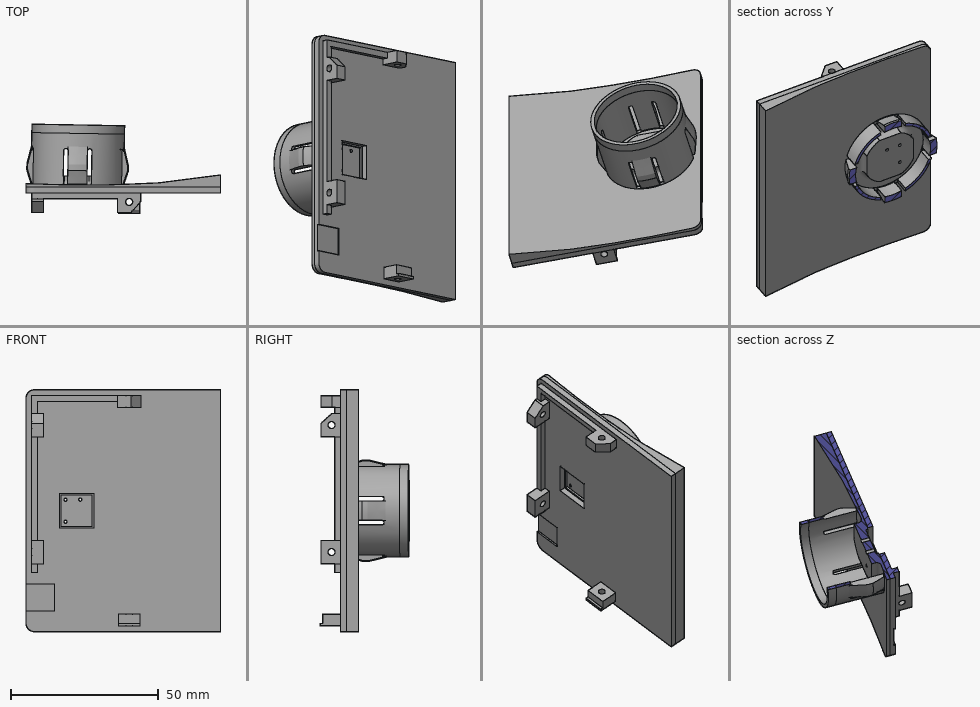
import cadquery as cq
import math

PANEL_WIDTH = 66.0
PANEL_HEIGHT = 82.0
CORNER_RADIUS = 3.0
FRONT_THICKNESS = 2.0
MID_Z = PANEL_HEIGHT / 2

HOLLOW_X = 20.6
HOLLOW_Y = 2.69
HOLLOW_RADIUS = 373.0
RAMP_START_X = 45.0
RAMP_END_Y = 6.17

EDGE_INSET = 2.0
RAIL_SIZE = 2.0
RAIL_BOTTOM_Z = 20.0
CLIP_LENGTH = 8.0
CLIP_WIDTH = 4.0
CLIP_DEPTH = 6.6
CLIP_CHAMFER_ALONG = 3.4
CLIP_CHAMFER_DEPTH = 3.75
CLIP_HOLE_DIAMETER = 2.3
CLIP_HOLE_DEPTH = 3.0
SIDE_CLIP_UPPER_Z = 70.0
SIDE_CLIP_LOWER_Z = 27.0
END_CLIP_X = 35.0
BOTTOM_CLIP_LENGTH = 7.3
BOTTOM_CLIP_DEPTH = 6.0
LIP_SIZE = 0.9

RECESS_WIDTH = 9.8
RECESS_BOTTOM_Z = 7.1
RECESS_HEIGHT = 9.1
RECESS_DEPTH = 0.6

BOSS_X = 17.2
WINDOW_SIZE = 11.7
POCKET_SIZE = 10.6
POCKET_FLOOR_Y = 2.75
BOSS_DIAMETER = 20.0
BOSS_FLAT_LENGTH = 8.34
BOSS_TOP_Y = 5.8
BOSS_FILLET = 1.5
PIN_HOLE_DIAMETER = 1.0
PIN_HOLE_OFFSETS = [(-3.75, 3.75), (1.25, 3.75), (-3.75, -3.75)]

CUP_X = 17.37
CUP_TILT = 1.0
CUP_OUTER_RADIUS = 31.5 / 2
CUP_INNER_RADIUS = 29.0 / 2
RIM_START_Y = 20.2
RIM_END_Y = 23.1
CUP_SEAT_Y = 2.5

TAB_COUNT = 4
TAB_WIDTH = 6.6
TAB_SLOT_WIDTH = 1.44
TAB_SLOT_END_RADIUS = 0.65
TAB_SLOT_END_Y = 15.0
TAB_SLOT_BASE_Y = 2.85
TAB_FREE_END_Y = 3.05
BULGE_RADIUS = 17.2
BULGE_TOP_Y = 15.6
BULGE_CREST_START_Y = 7.6
BULGE_CREST_END_Y = 9.6


def block(x_range, y_range, z_range):
    """Box between the given limits on each axis."""
    sizes = [high - low for low, high in (x_range, y_range, z_range)]
    corner = (x_range[0], y_range[0], z_range[0])
    return cq.Workplane("XY").box(*sizes, centered=False).translate(corner)


def span(center, length):
    """Limits of a length centred on a point."""
    return (center - length / 2, center + length / 2)


def cylinder_y(x, z, diameter, y_start, y_end):
    """Cylinder with its axis along Y."""
    circle = cq.Workplane("XZ", origin=(x, y_start, z)).circle(diameter / 2)
    return circle.extrude(y_start - y_end)


def round_left_corners(panel):
    return panel.edges("|Y and <X").fillet(CORNER_RADIUS)


def side_clip(center_z, chamfered):
    """Clip at the left edge, with its hole along X."""
    x_range = (EDGE_INSET, EDGE_INSET + CLIP_WIDTH)
    clip = block(x_range, (-CLIP_DEPTH, 0), span(center_z, CLIP_LENGTH))
    if chamfered:
        clip = clip.edges("<Y and >Z").chamfer(CLIP_CHAMFER_ALONG, CLIP_CHAMFER_DEPTH)
    hole = (
        cq.Workplane("YZ", origin=(EDGE_INSET, -CLIP_HOLE_DEPTH, center_z))
        .circle(CLIP_HOLE_DIAMETER / 2)
        .extrude(CLIP_WIDTH)
    )
    return clip.cut(hole)


def end_clip_hole():
    """Vertical hole shared by the top and bottom clips."""
    return (
        cq.Workplane("XY", origin=(END_CLIP_X, -CLIP_HOLE_DEPTH, 0))
        .circle(CLIP_HOLE_DIAMETER / 2)
        .extrude(PANEL_HEIGHT)
    )


def top_clip():
    z_top = PANEL_HEIGHT - EDGE_INSET
    clip = block(span(END_CLIP_X, CLIP_LENGTH), (-CLIP_DEPTH, 0), (z_top - CLIP_WIDTH, z_top))
    clip = clip.edges("<Y and >X").chamfer(CLIP_CHAMFER_DEPTH, CLIP_CHAMFER_ALONG)
    return clip.cut(end_clip_hole())


def bottom_clip():
    """Clip with a small lip along its lower outer edge."""
    x_range = span(END_CLIP_X, BOTTOM_CLIP_LENGTH)
    clip = block(x_range, (-BOTTOM_CLIP_DEPTH, 0), (EDGE_INSET, EDGE_INSET + CLIP_WIDTH))
    lip_y = (-BOTTOM_CLIP_DEPTH - LIP_SIZE, -BOTTOM_CLIP_DEPTH)
    lip = block(x_range, lip_y, (EDGE_INSET, EDGE_INSET + LIP_SIZE))
    return clip.union(lip).cut(end_clip_hole())


def side_clip_hole_clearance():
    """The side clip holes, continued through the rail."""
    centers = [(-CLIP_HOLE_DEPTH, z) for z in (SIDE_CLIP_UPPER_Z, SIDE_CLIP_LOWER_Z)]
    return (
        cq.Workplane("YZ")
        .pushPoints(centers)
        .circle(CLIP_HOLE_DIAMETER / 2)
        .extrude(EDGE_INSET + CLIP_WIDTH)
    )


def rail():
    """L-shaped rail that runs up the left edge and along the top to the top clip."""
    y_range = (-RAIL_SIZE, 0)
    z_top = PANEL_HEIGHT - EDGE_INSET
    upright = block((EDGE_INSET, EDGE_INSET + RAIL_SIZE), y_range, (RAIL_BOTTOM_Z, z_top))
    across = block((EDGE_INSET, END_CLIP_X), y_range, (z_top - RAIL_SIZE, z_top))
    return upright.union(across).cut(side_clip_hole_clearance()).cut(end_clip_hole())


def make_front_panel():
    panel = round_left_corners(block((0, PANEL_WIDTH), (0, FRONT_THICKNESS), (0, PANEL_HEIGHT)))
    window = block(span(BOSS_X, WINDOW_SIZE), (0, FRONT_THICKNESS), span(MID_Z, WINDOW_SIZE))
    recess_z = (RECESS_BOTTOM_Z, RECESS_BOTTOM_Z + RECESS_HEIGHT)
    recess = block((0, RECESS_WIDTH), (0, RECESS_DEPTH), recess_z)
    panel = panel.cut(window).cut(recess).union(rail())
    panel = panel.union(side_clip(SIDE_CLIP_UPPER_Z, True))
    panel = panel.union(side_clip(SIDE_CLIP_LOWER_Z, False))
    return panel.union(top_clip()).union(bottom_clip())


def hollow_y(x):
    """Height of the hollow back face at a given X."""
    return HOLLOW_Y + HOLLOW_RADIUS - math.sqrt(HOLLOW_RADIUS**2 - (x - HOLLOW_X) ** 2)


def back_slab():
    slab = (
        cq.Workplane("XY")
        .moveTo(0, FRONT_THICKNESS)
        .lineTo(0, hollow_y(0))
        .threePointArc((HOLLOW_X, HOLLOW_Y), (RAMP_START_X, hollow_y(RAMP_START_X)))
        .lineTo(PANEL_WIDTH, RAMP_END_Y)
        .lineTo(PANEL_WIDTH, FRONT_THICKNESS)
        .close()
        .extrude(PANEL_HEIGHT)
    )
    return round_left_corners(slab)


def boss():
    """Round boss with four flats."""
    flat_to_flat = math.sqrt(BOSS_DIAMETER**2 - BOSS_FLAT_LENGTH**2)
    y_range = (FRONT_THICKNESS, BOSS_TOP_Y)
    flats = block(span(BOSS_X, flat_to_flat), y_range, span(MID_Z, flat_to_flat))
    return cylinder_y(BOSS_X, MID_Z, BOSS_DIAMETER, *y_range).intersect(flats)


def boss_foot_edges():
    """Box selector around the foot of the boss only."""
    reach = CUP_INNER_RADIUS
    low = (BOSS_X - reach, (FRONT_THICKNESS + HOLLOW_Y) / 2, MID_Z - reach)
    high = (BOSS_X + reach, (HOLLOW_Y + BOSS_TOP_Y) / 2, MID_Z + reach)
    return cq.selectors.BoxSelector(low, high, boundingbox=True)


def make_back_panel():
    panel = back_slab().union(boss())
    panel = panel.edges(boss_foot_edges()).fillet(BOSS_FILLET)
    pocket_y = (FRONT_THICKNESS, POCKET_FLOOR_Y)
    panel = panel.cut(block(span(BOSS_X, POCKET_SIZE), pocket_y, span(MID_Z, POCKET_SIZE)))
    for x_offset, z_offset in PIN_HOLE_OFFSETS:
        x = BOSS_X + x_offset
        z = MID_Z + z_offset
        panel = panel.cut(cylinder_y(x, z, PIN_HOLE_DIAMETER, FRONT_THICKNESS, BOSS_TOP_Y))
    return panel


def tube(y_start, y_end):
    outer = cylinder_y(0, 0, 2 * CUP_OUTER_RADIUS, y_start, y_end)
    return outer.cut(cylinder_y(0, 0, 2 * CUP_INNER_RADIUS, y_start, y_end))


def place_cup(part):
    """Tilt a part built on the Y axis toward +X and move it to its place."""
    return part.rotate((0, 0, 0), (0, 0, 1), -CUP_TILT).translate((CUP_X, 0, MID_Z))


def tab_opening():
    """Cutter for the +X wall: two slots joined by a gap below the free end of the tab."""
    half_width = TAB_WIDTH / 2 + TAB_SLOT_WIDTH
    x_range = (CUP_INNER_RADIUS / 2, BULGE_RADIUS)
    y_range = (TAB_SLOT_BASE_Y, TAB_SLOT_END_Y)
    opening = block(x_range, y_range, (-half_width, half_width))
    middle = block(x_range, y_range, (-TAB_WIDTH / 2, TAB_WIDTH / 2))
    slots = opening.cut(middle).edges("|X and >Y").fillet(TAB_SLOT_END_RADIUS)
    free_end_gap = block(x_range, (TAB_SLOT_BASE_Y, TAB_FREE_END_Y), (-half_width, half_width))
    return slots.union(free_end_gap)


def tab_bulge():
    """Outward swelling of the tab on the +X wall, turned around the cup axis."""
    ring = (
        cq.Workplane("XY")
        .moveTo(CUP_INNER_RADIUS, TAB_FREE_END_Y)
        .lineTo(CUP_OUTER_RADIUS, TAB_FREE_END_Y)
        .lineTo(BULGE_RADIUS, BULGE_CREST_START_Y)
        .lineTo(BULGE_RADIUS, BULGE_CREST_END_Y)
        .lineTo(CUP_OUTER_RADIUS, BULGE_TOP_Y)
        .lineTo(CUP_INNER_RADIUS, BULGE_TOP_Y)
        .close()
        .revolve(360, (0, 0, 0), (0, 1, 0))
    )
    strip = block((0, BULGE_RADIUS), (0, RIM_START_Y), (-TAB_WIDTH / 2, TAB_WIDTH / 2))
    return ring.intersect(strip)


def make_cup(back_panel):
    """Tube with four spring tabs, seated on the hollow face of the back panel."""
    cup = tube(CUP_SEAT_Y, RIM_START_Y)
    for index in range(TAB_COUNT):
        angle = index * 360 / TAB_COUNT
        cup = cup.cut(tab_opening().rotate((0, 0, 0), (0, 1, 0), angle))
        cup = cup.union(tab_bulge().rotate((0, 0, 0), (0, 1, 0), angle))
    return place_cup(cup).cut(back_panel)


def make_rim():
    return place_cup(tube(RIM_START_Y, RIM_END_Y))


front_panel = make_front_panel()
back_panel = make_back_panel()
cup = make_cup(back_panel)
rim = make_rim()

result = cq.Compound.makeCompound([*front_panel.vals(), *back_panel.vals(), *cup.vals(), *rim.vals()])